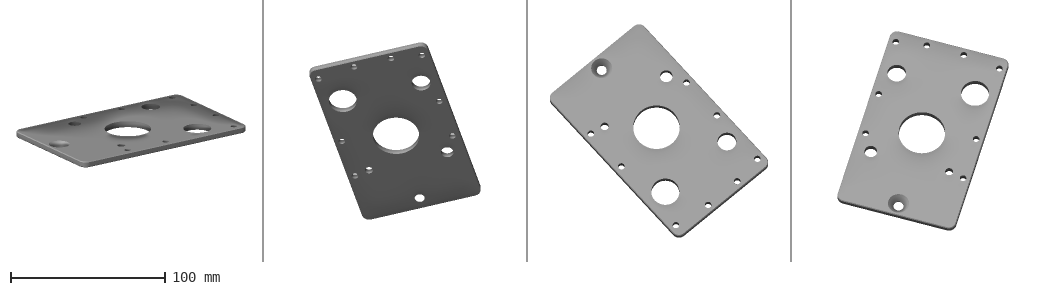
import cadquery as cq

plate_width = 80.0
plate_length = 130.0
plate_thickness = 4.0
corner_radius = 5.0
edge_chamfer = 0.5

fixing_diameter = 4.3
column_x = 35.0
column_top_y = 57.0
left_column_y = [column_top_y, 17.0, -13.0]
right_column_y = [column_top_y, 3.0, -27.0]
end_pair_y = 60.0
end_pair_x = [-15.0, 10.0]

left_opening_x = -28.0
right_opening_x = 25.0
upper_row_y = 35.0
lower_row_y = -25.0
centre_opening_y = -2.5
sensor_openings = [
    (left_opening_x, upper_row_y, 12.2),
    (right_opening_x, upper_row_y, 18.2),
    (left_opening_x, lower_row_y, 8.2),
    (right_opening_x, lower_row_y, 5.2),
    (0, centre_opening_y, 30.2),
]

mount_y = -56.5
mount_diameter = 6.5
countersink_diameter = 13.6
countersink_angle = 90


def make_plate():
    """Rounded rectangle with both faces chamfered along the outer edge."""
    return (
        cq.Workplane("XY")
        .box(plate_width, plate_length, plate_thickness, centered=(True, True, False))
        .edges("|Z")
        .fillet(corner_radius)
        .faces("<Z or >Z")
        .chamfer(edge_chamfer)
    )


def top_plane(plate):
    """Work plane on the upper face, with its origin on the plate centre."""
    return plate.faces(">Z").workplane(origin=(0, 0, plate_thickness))


def cut_fixing_holes(plate):
    centres = [(-column_x, y) for y in left_column_y]
    centres += [(column_x, y) for y in right_column_y]
    centres += [(x, end_pair_y) for x in end_pair_x]
    return top_plane(plate).pushPoints(centres).hole(fixing_diameter)


def cut_sensor_openings(plate):
    for x, y, diameter in sensor_openings:
        plate = top_plane(plate).pushPoints([(x, y)]).hole(diameter)
    return plate


def cut_mounting_hole(plate):
    return (
        top_plane(plate)
        .pushPoints([(0, mount_y)])
        .cskHole(mount_diameter, countersink_diameter, countersink_angle)
    )


result = cut_mounting_hole(cut_sensor_openings(cut_fixing_holes(make_plate())))